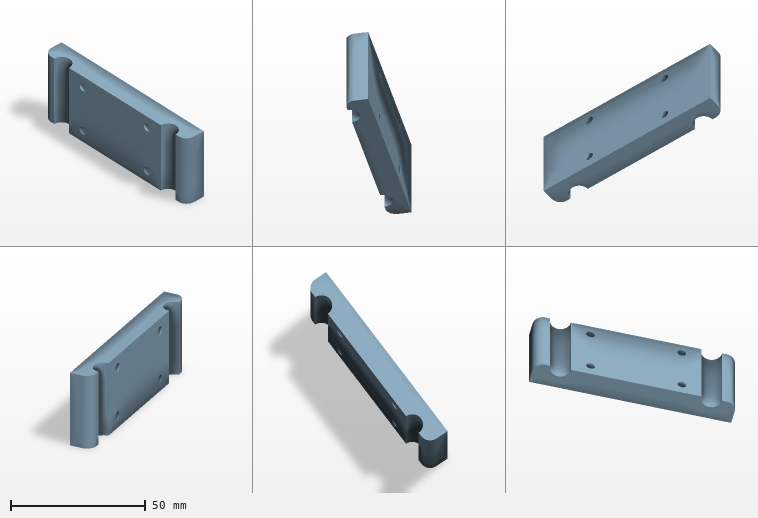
import cadquery as cq

length = 77.5
thickness = 9.1
height = 30.0
corner_radius = 4.0

groove_diameter = 8.0
groove_spacing = 58.0

hole_diameter = 3.3
hole_spacing_x = 35.0
hole_spacing_z = 20.0

front_y = -thickness / 2


def make_plate():
    """Block with its two upright edges on the grooved face rounded."""
    block = cq.Workplane("XY").box(length, thickness, height)
    return block.faces("<Y").edges("|Z").fillet(corner_radius)


def make_grooves():
    """Two upright cylinders centred on the plane of the grooved face."""
    groove_centres = [(side * groove_spacing / 2, front_y) for side in (-1, 1)]
    return (
        cq.Workplane("XY")
        .workplane(offset=-height / 2)
        .pushPoints(groove_centres)
        .circle(groove_diameter / 2)
        .extrude(height)
    )


def make_holes():
    """Four cylinders that pass through the full thickness."""
    return (
        cq.Workplane("XZ")
        .rarray(hole_spacing_x, hole_spacing_z, 2, 2)
        .circle(hole_diameter / 2)
        .extrude(thickness / 2, both=True)
    )


result = make_plate().cut(make_grooves()).cut(make_holes())